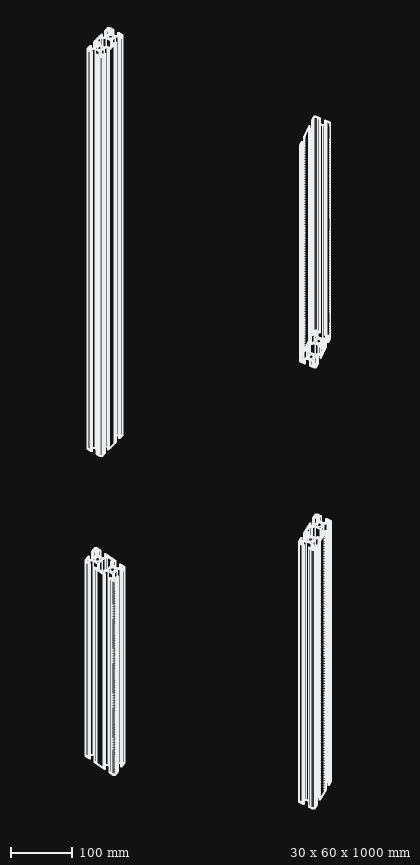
import cadquery as cq

length = 1000.0
cell = 30.0
cell_count = 2
corner_radius = 2.6

slot_opening = 9.0
lip_thickness = 1.2
slot_half_width = 8.2
slot_straight_depth = 5.2
slot_depth = 9.0
slot_floor_width = 9.0

wall_thickness = 2.0
core_bore = 7.5
corner_bore = 4.0
corner_bore_inset = 3.0

depth_y = cell * cell_count
half_cell = cell / 2
overlap = half_cell
cell_centers = [(i - (cell_count - 1) / 2) * cell for i in range(cell_count)]


def mirrored_outline(half_points):
    """Close a half outline, given on the +X side, with its mirror image about X = 0."""
    return half_points + [(-x, y) for x, y in reversed(half_points)]


def extrude_outline(points):
    return cq.Workplane("XY").polyline(points).close().extrude(length)


def slot_cutter(center_y, angle):
    """T-slot of the cell at center_y; at angle 0 it opens towards +Y."""
    half_points = [
        (slot_opening / 2, half_cell + overlap),
        (slot_opening / 2, half_cell - lip_thickness),
        (slot_half_width, half_cell - lip_thickness),
        (slot_half_width, half_cell - slot_straight_depth),
        (slot_floor_width / 2, half_cell - slot_depth),
    ]
    cutter = extrude_outline(mirrored_outline(half_points))
    return cutter.rotate((0, 0, 0), (0, 0, 1), angle).translate((0, center_y, 0))


def chamber_cutter(boundary_y):
    """Closed chamber on the boundary of two cells: two slot bottoms joined by a full-width box."""
    quarter_points = [
        (slot_floor_width / 2, slot_depth),
        (slot_half_width, slot_straight_depth),
        (half_cell - wall_thickness, slot_straight_depth),
    ]
    half_points = quarter_points + [(x, -y) for x, y in reversed(quarter_points)]
    return extrude_outline(mirrored_outline(half_points)).translate((0, boundary_y, 0))


def bore_cutter(centers, diameter):
    return cq.Workplane("XY").pushPoints(centers).circle(diameter / 2).extrude(length)


profile = cq.Workplane("XY").rect(cell, depth_y).extrude(length)
profile = profile.edges("|Z").fillet(corner_radius)

for center_y in cell_centers:
    for angle in (90, -90):
        profile = profile.cut(slot_cutter(center_y, angle))
profile = profile.cut(slot_cutter(cell_centers[-1], 0))
profile = profile.cut(slot_cutter(cell_centers[0], 180))

for lower, upper in zip(cell_centers, cell_centers[1:]):
    profile = profile.cut(chamber_cutter((lower + upper) / 2))

profile = profile.cut(bore_cutter([(0, y) for y in cell_centers], core_bore))

corner_x = half_cell - corner_bore_inset
corner_y = depth_y / 2 - corner_bore_inset
corner_centers = [(x, y) for x in (corner_x, -corner_x) for y in (corner_y, -corner_y)]
result = profile.cut(bore_cutter(corner_centers, corner_bore))